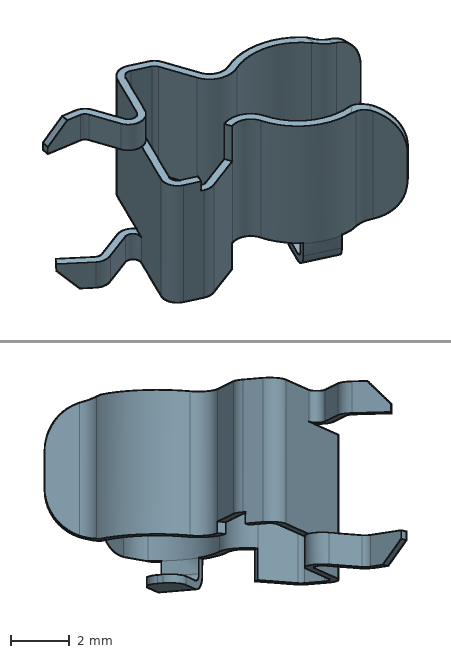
import cadquery as cq
import math


thickness = 0.3
arm_width = 5.0
half_sheet = thickness / 2

barrel_radius = 2.5
barrel_center_x = 0.15
barrel_neck_angle = 48.0
barrel_lip_angle = 28.5
neck_radius = 0.85
lip_heading = 115.0
lip_length = 1.18

lip_corner_radius = 1.75
lip_edge_half_width = 0.65
lip_taper_angle = 15.0

clip_width = 5.6
back_outer_y = -5.78
diagonal_heading = 45.0
base_bend_radius = 0.45
half_offset = 1.1
notch_depth = 0.4
notch_wall_length = 0.1

leg_start_x = -0.24
leg_curl_turn = 135.0
leg_diagonal_length = 1.2
leg_knee_turn = 60.0
leg_end_length = 1.335
leg_chamfer = 0.8

lug_width = 1.4
lug_bottom_z = -1.15
lug_tip_x = 0.37
lug_corner_radius = 0.6
lug_bend_inner_radius = 0.3
lug_web_outer_x = 2.4

wall_x = -(clip_width - thickness) / 2
back_y = back_outer_y + half_sheet
base_mid_z = (arm_width - half_offset) / 2
neck_center_distance = barrel_radius + neck_radius
neck_center_x = barrel_center_x - neck_center_distance * math.cos(math.radians(barrel_neck_angle))
neck_center_y = -neck_center_distance * math.sin(math.radians(barrel_neck_angle))


def move(point, heading, distance):
    """Point reached from a start point along a heading in degrees."""
    angle = math.radians(heading)
    return (point[0] + distance * math.cos(angle), point[1] + distance * math.sin(angle))


neck_start = move((neck_center_x, neck_center_y), diagonal_heading - 90, neck_radius)


def straight(length):
    return (length, None, 0.0)


def bend(radius, turn):
    """Bend step; a positive turn is counter-clockwise."""
    return (None, radius, turn)


def follow(start, heading, steps):
    """Walk the steps; return (bend midpoint or None, end point) pairs as (point, heading)."""
    point = start
    stops = []
    for length, radius, turn in steps:
        if radius is None:
            middle = None
            point = move(point, heading, length)
        else:
            side = math.copysign(90, turn)
            center = move(point, heading + side, radius)
            middle = (move(center, heading + turn / 2 - side, radius), heading + turn / 2)
            heading += turn
            point = move(center, heading - side, radius)
        stops.append((middle, (point, heading)))
    return stops


def sheet_strip(start, heading, steps, bottom_z, top_z):
    """Bent strip of sheet along the steps, between two heights."""
    stops = follow(start, heading, steps)

    def offset(station, side):
        return move(station[0], station[1] + 90, side * half_sheet)

    def draw(wire, middle, end, side):
        if middle is None:
            return wire.lineTo(*offset(end, side))
        return wire.threePointArc(offset(middle, side), offset(end, side))

    begin = (start, heading)
    ends = [begin] + [end for _, end in stops]
    middles = [middle for middle, _ in stops]
    wire = cq.Workplane("XY", origin=(0, 0, bottom_z)).moveTo(*offset(begin, 1))
    for index, middle in enumerate(middles):
        wire = draw(wire, middle, ends[index + 1], 1)
    wire = wire.lineTo(*offset(ends[-1], -1))
    for index in reversed(range(len(middles))):
        wire = draw(wire, middles[index], ends[index], -1)
    return wire.close().extrude(top_z - bottom_z)


def end_plane(station):
    """Plane on the strip's flat end: local x runs back along the strip, local y is Z."""
    (x, y), heading = station
    dir_x, dir_y = move((0, 0), heading + 180, 1)
    return cq.Plane(origin=(x, y, 0), xDir=(dir_x, dir_y, 0), normal=(dir_y, -dir_x, 0))


def make_arm():
    barrel_start_heading = 90 + barrel_neck_angle
    barrel_end_heading = 90 - barrel_lip_angle
    steps = [
        bend(neck_radius, barrel_start_heading - diagonal_heading),
        bend(barrel_radius, barrel_end_heading - barrel_start_heading),
        bend(neck_radius, lip_heading - barrel_end_heading),
        straight(lip_length),
    ]
    arm = sheet_strip(neck_start, diagonal_heading, steps, 0, arm_width)
    lip_end = follow(neck_start, diagonal_heading, steps)[-1][1]
    return arm.cut(lip_trim(lip_end))


def lip_trim(lip_end):
    """Material removed at both corners of the lip: a round that runs into a taper."""
    half_width = arm_width / 2
    taper = math.radians(lip_taper_angle)
    round_sweep = math.pi / 2 - taper

    def on_round(sweep):
        along = lip_corner_radius * (1 - math.cos(sweep))
        return (along, lip_edge_half_width + lip_corner_radius * math.sin(sweep))

    round_end = on_round(round_sweep)
    taper_end = round_end[0] + (half_width - round_end[1]) / math.tan(taper)
    corner = (
        cq.Workplane(end_plane(lip_end))
        .center(0, half_width)
        .moveTo(*on_round(0))
        .threePointArc(on_round(round_sweep / 2), round_end)
        .lineTo(taper_end, half_width)
        .lineTo(0, half_width)
        .close()
        .extrude(2 * thickness, both=True)
    )
    other_corner = corner.mirror("XY").translate((0, 0, arm_width))
    return corner.union(other_corner)


def make_base_half():
    """Half of the back panel, the side wall and the diagonal, on the -X side."""
    wall_bottom = back_y + base_bend_radius
    bend_rise = base_bend_radius * math.sin(math.radians(diagonal_heading))
    bend_run = base_bend_radius * (1 - math.cos(math.radians(diagonal_heading)))
    diagonal_run = neck_start[0] - wall_x - bend_run
    diagonal_length = diagonal_run / math.cos(math.radians(diagonal_heading))
    wall_top = neck_start[1] - diagonal_run * math.tan(math.radians(diagonal_heading)) - bend_rise
    notch_start = wall_top - notch_wall_length

    panel_steps = [
        straight(leg_start_x - wall_x - base_bend_radius),
        bend(base_bend_radius, -90),
        straight(notch_start - wall_bottom),
    ]
    notched_steps = [
        straight(notch_wall_length),
        bend(base_bend_radius, diagonal_heading - 90),
        straight(diagonal_length),
    ]
    panel = sheet_strip((leg_start_x, back_y), 180, panel_steps, 0, arm_width)
    notched = sheet_strip((wall_x, notch_start), 90, notched_steps, notch_depth, arm_width)
    return panel.union(notched)


def make_leg():
    """Leg that curls out of the -X half of the back panel, with a chamfered end."""
    start = (leg_start_x, back_y)
    steps = [
        bend(base_bend_radius, -leg_curl_turn),
        straight(leg_diagonal_length),
        bend(base_bend_radius, leg_knee_turn),
        straight(leg_end_length),
    ]
    leg = sheet_strip(start, 0, steps, arm_width - half_offset, arm_width)
    chamfer = (
        cq.Workplane(end_plane(follow(start, 0, steps)[-1][1]))
        .moveTo(0, arm_width)
        .lineTo(leg_chamfer, arm_width)
        .lineTo(0, arm_width - leg_chamfer)
        .close()
        .extrude(thickness, both=True)
    )
    return leg.cut(chamfer)


def make_bridge():
    """Middle of the back panel, joining the two halves where they overlap in Z."""
    size = (-2 * leg_start_x, thickness, arm_width - half_offset)
    return cq.Workplane("XY").box(*size).translate((0, back_y, base_mid_z))


def make_lug():
    """Lug whose web changes from the barrel curve to flat, then folds inwards."""
    half_width = lug_width / 2
    bend_outer_radius = lug_bend_inner_radius + thickness
    bend_x = lug_web_outer_x - bend_outer_radius
    bend_z = lug_bottom_z + bend_outer_radius
    web_inner_x = lug_web_outer_x - thickness
    plate_top_z = lug_bottom_z + thickness
    diagonal = math.cos(math.radians(45))

    fold = (
        cq.Workplane("XZ")
        .moveTo(lug_tip_x, lug_bottom_z)
        .lineTo(bend_x, lug_bottom_z)
        .threePointArc(
            (bend_x + bend_outer_radius * diagonal, bend_z - bend_outer_radius * diagonal),
            (lug_web_outer_x, bend_z),
        )
        .lineTo(web_inner_x, bend_z)
        .threePointArc(
            (bend_x + lug_bend_inner_radius * diagonal, bend_z - lug_bend_inner_radius * diagonal),
            (bend_x, plate_top_z),
        )
        .lineTo(lug_tip_x, plate_top_z)
        .close()
        .extrude(half_width, both=True)
        .edges("|Z and <X")
        .fillet(lug_corner_radius)
    )

    def on_barrel(radius, y):
        return (math.sqrt(radius ** 2 - y ** 2) - barrel_center_x, y)

    inner = barrel_radius - half_sheet
    outer = barrel_radius + half_sheet
    web_top = (
        cq.Workplane("XY")
        .moveTo(*on_barrel(inner, -half_width))
        .lineTo(*on_barrel(outer, -half_width))
        .threePointArc(on_barrel(outer, 0), on_barrel(outer, half_width))
        .lineTo(*on_barrel(inner, half_width))
        .threePointArc(on_barrel(inner, 0), on_barrel(inner, -half_width))
        .wire()
    )
    web_bottom = (
        cq.Workplane("XY", origin=(0, 0, bend_z))
        .moveTo(web_inner_x, -half_width)
        .lineTo(lug_web_outer_x, -half_width)
        .lineTo(lug_web_outer_x, half_width)
        .lineTo(web_inner_x, half_width)
        .close()
    )
    web = cq.Solid.makeLoft([web_bottom.val(), web_top.val()], True)
    return fold.union(cq.Workplane(web))


def turned_over(half):
    """Half of the base turned over to the +X side, half a turn about the base's Y axis."""
    return half.rotate((0, 0, base_mid_z), (0, 1, base_mid_z), 180)


arm = make_arm()
base_half = make_base_half().union(make_leg())

result = (
    make_bridge()
    .union(base_half)
    .union(turned_over(base_half))
    .union(arm)
    .union(arm.mirror("YZ"))
    .union(make_lug())
)